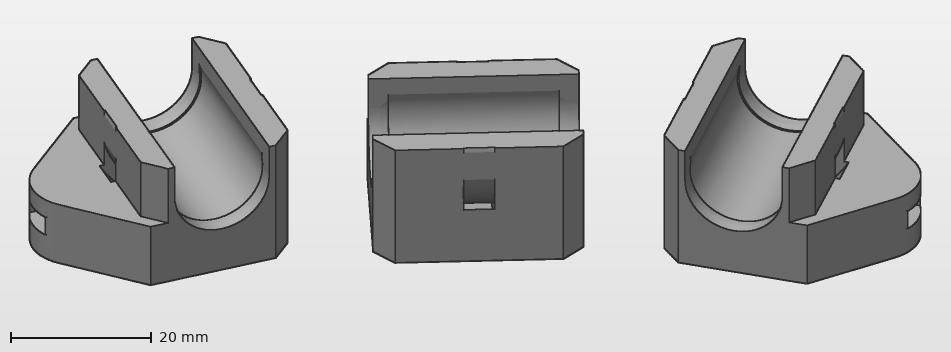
import cadquery as cq
import math


length = 30.0
height = 19.25
base_height = 10.0
half_width = 11.25
corner_chamfer = 3.0

nose_tip_y = half_width - 34.25
flank_start_y = -10.9

bore_axis_z = 14.25
mouth_radius = 7.23
lip_radius = 7.33
seat_radius = 7.57
mouth_depth = 1.68
lip_length = 1.15

strap_width = 4.45
strap_axis_z = 16.25
strap_inner_radius = 11.47
strap_thickness = 2.0

nut_pocket_width = 6.15
nut_pocket_height = 3.0
nut_pocket_floor_z = 4.0

half_length = length / 2


def x_cylinder(radius, cylinder_length, axis_z):
    """Cylinder along X, centred on X = 0 and Y = 0."""
    return (
        cq.Workplane("YZ")
        .center(0, axis_z)
        .circle(radius)
        .extrude(cylinder_length / 2, both=True)
    )


def tip_arc():
    """Return the radius, centre Y and half-chord of the arc tangent to both flanks."""
    flank_corner_y = flank_start_y - half_length
    radius = (nose_tip_y - flank_corner_y) / (math.sqrt(2) - 1)
    return radius, nose_tip_y + radius, radius / math.sqrt(2)


def make_base():
    _, centre_y, half_chord = tip_arc()
    chord_y = centre_y - half_chord
    return (
        cq.Workplane("XY")
        .moveTo(half_length - corner_chamfer, half_width)
        .lineTo(half_length, half_width - corner_chamfer)
        .lineTo(half_length, flank_start_y)
        .lineTo(half_chord, chord_y)
        .threePointArc((0, nose_tip_y), (-half_chord, chord_y))
        .lineTo(-half_length, flank_start_y)
        .lineTo(-half_length, half_width - corner_chamfer)
        .lineTo(-half_length + corner_chamfer, half_width)
        .close()
        .extrude(base_height)
    )


def make_cradle():
    return (
        cq.Workplane("XY")
        .rect(length, 2 * half_width)
        .extrude(height - base_height)
        .edges("|Z")
        .chamfer(corner_chamfer)
        .translate((0, 0, base_height))
    )


def make_bore():
    """Revolved bore with flared lips and a wider seat, open upwards between flat walls."""
    lip_start_x = half_length - mouth_depth
    seat_end_x = lip_start_x - lip_length
    profile = (
        cq.Workplane("XY")
        .moveTo(-half_length, 0)
        .lineTo(-half_length, mouth_radius)
        .lineTo(-lip_start_x, mouth_radius)
        .lineTo(-seat_end_x, lip_radius)
        .lineTo(-seat_end_x, seat_radius)
        .lineTo(seat_end_x, seat_radius)
        .lineTo(seat_end_x, lip_radius)
        .lineTo(lip_start_x, mouth_radius)
        .lineTo(half_length, mouth_radius)
        .lineTo(half_length, 0)
        .close()
    )
    bore = profile.revolve(360, (0, 0, 0), (1, 0, 0)).translate((0, 0, bore_axis_z))
    opening = (
        cq.Workplane("XY")
        .workplane(offset=bore_axis_z)
        .rect(length, 2 * mouth_radius)
        .extrude(height - bore_axis_z)
    )
    return bore.union(opening)


def make_strap_channel():
    outer = x_cylinder(strap_inner_radius + strap_thickness, strap_width, strap_axis_z)
    inner = x_cylinder(strap_inner_radius, strap_width, strap_axis_z)
    return outer.cut(inner)


def make_nut_pocket():
    """Straight slot ending in the corner of a hexagon that points along +Y."""
    _, centre_y, _ = tip_arc()
    half_flats = nut_pocket_width / 2
    corner_radius = nut_pocket_width / math.sqrt(3)
    shoulder_y = centre_y + corner_radius / 2
    return (
        cq.Workplane("XY")
        .workplane(offset=nut_pocket_floor_z)
        .moveTo(0, centre_y + corner_radius)
        .lineTo(half_flats, shoulder_y)
        .lineTo(half_flats, nose_tip_y)
        .lineTo(-half_flats, nose_tip_y)
        .lineTo(-half_flats, shoulder_y)
        .close()
        .extrude(nut_pocket_height)
    )


result = (
    make_base()
    .union(make_cradle())
    .cut(make_bore())
    .cut(make_strap_channel())
    .cut(make_nut_pocket())
)